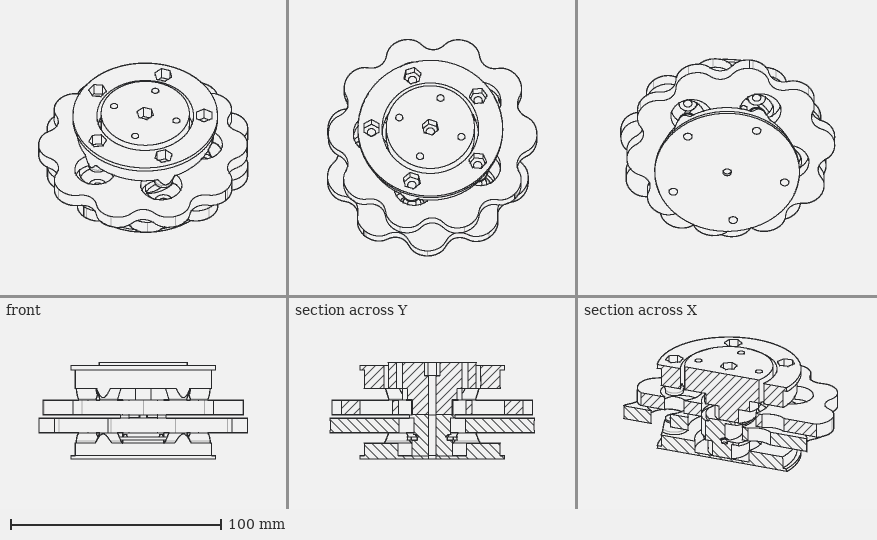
import cadquery as cq
import math


cam_spread = 7.0
eccentricity = cam_spread / 2
lobe_count = 10
ring_pin_count = lobe_count + 1
ring_pin_circle_radius = 52.5
ring_pin_radius = 6.3
points_per_lobe = 24
disc_thickness = 7.0
disc_gap = 1.6
disc_bore_diameter = 32.5
peg_window_diameter = 19.5

rim_diameter = 69.0
skirt_diameter = 65.0
upper_bore_diameter = 46.0
bearing_pocket_diameter = disc_bore_diameter
peg_count = 5
peg_circle_radius = 28.0
bolt_hole_diameter = 4.0
peg_tip_diameter = 8.6
peg_tip_length = 0.8
upper_peg_root_diameter = 11.7
lower_peg_waist_diameter = 11.7
lower_peg_root_diameter = 13.0
peg_nut_diameter = 8.5
nut_pocket_depth = 6.3

hub_plate_diameter = 42.0
hub_boss_diameter = 28.4
hub_boss_offset = 2.9
hub_clearance = 0.1
hub_nut_diameter = 8.0
screw_circle_radius = 15.6
screw_hole_diameter = 3.3
screw_head_groove_diameter = 7.5
cam_diameter = 19.8
shoulder_diameter = 24.0
spacer_diameter = 21.8
tab_width = 13.6
tab_clearance = 0.2
tab_notch_width = 4.1
blind_hole_diameter = 2.8
blind_hole_crown_diameter = 4.5
blind_hole_end_diameter = 2.1
blind_hole_x = 8.6
blind_hole_y = -1.1
blind_hole_crown_height = 1.0

lower_rim_top = 1.6
lower_skirt_top = 7.5
lower_peg_waist = 8.6
shoulder_bottom = 9.0
shoulder_top = 10.6
lower_disc_bottom = 12.4
lower_disc_top = lower_disc_bottom + disc_thickness
upper_disc_bottom = lower_disc_top + disc_gap
upper_disc_top = upper_disc_bottom + disc_thickness
hub_boss_bottom = upper_disc_top + hub_clearance
upper_peg_cone_bottom = 28.5
upper_skirt_bottom = 33.5
upper_rim_bottom = 42.3
upper_rim_top = 44.5
hub_top = 46.0

peg_angles = [90 + 360 / peg_count * i for i in range(peg_count)]
peg_places = [
    (peg_circle_radius * math.cos(math.radians(a)), peg_circle_radius * math.sin(math.radians(a)))
    for a in peg_angles
]


def cylinder(diameter, bottom, top, x=0, y=0):
    """Upright cylinder between two levels."""
    return cq.Workplane("XY", origin=(x, y, bottom)).circle(diameter / 2).extrude(top - bottom)


def cone(bottom_diameter, top_diameter, bottom, top, x=0, y=0):
    """Upright truncated cone between two levels."""
    solid = cq.Solid.makeCone(
        bottom_diameter / 2, top_diameter / 2, top - bottom, pnt=cq.Vector(x, y, bottom)
    )
    return cq.Workplane(solid)


def hex_prism(corner_diameter, bottom, top, x=0, y=0, angle=0):
    """Upright hexagonal prism with one corner pointing along the given angle."""
    prism = cq.Workplane("XY").polygon(6, corner_diameter).extrude(top - bottom)
    return prism.rotate((0, 0, 0), (0, 0, 1), angle).translate((x, y, bottom))


def cycloid_point(t):
    """Point of the disc outline: an epitrochoid offset inward by the ring pin radius."""
    lean = math.atan2(
        math.sin(lobe_count * t),
        math.cos(lobe_count * t) - ring_pin_circle_radius / (eccentricity * ring_pin_count),
    )
    x = (
        ring_pin_circle_radius * math.cos(t)
        + ring_pin_radius * math.cos(t + lean)
        - eccentricity * math.cos(ring_pin_count * t)
    )
    y = (
        ring_pin_circle_radius * math.sin(t)
        + ring_pin_radius * math.sin(t + lean)
        - eccentricity * math.sin(ring_pin_count * t)
    )
    return cq.Vector(x, y, 0)


def cycloid_wire():
    """Closed outline with one spline from each lobe tip to the next."""
    pitch = 2 * math.pi / lobe_count
    edges = []
    for lobe in range(lobe_count):
        start = (lobe + 0.5) * pitch
        points = [cycloid_point(start + pitch * i / points_per_lobe) for i in range(points_per_lobe + 1)]
        tangents = [cq.Vector(-math.sin(a), math.cos(a), 0) for a in (start, start + pitch)]
        edges.append(cq.Edge.makeSpline(points, tangents=tangents))
    return cq.Wire.assembleEdges(edges)


def cycloidal_disc(bottom, center_y, tip_angle):
    """Lobed disc with a centre bore and a window for each peg."""
    outline = cq.Solid.extrudeLinear(cycloid_wire(), [], cq.Vector(0, 0, disc_thickness))
    half_pitch = 180 / lobe_count
    disc = cq.Workplane(outline).rotate((0, 0, 0), (0, 0, 1), tip_angle - half_pitch)
    disc = disc.cut(cylinder(disc_bore_diameter, 0, disc_thickness))
    for x, y in peg_places:
        disc = disc.cut(cylinder(peg_window_diameter, 0, disc_thickness, x, y))
    return disc.translate((0, center_y, bottom))


def make_upper_flange():
    """Rim, skirt and hanging pegs, bored for the hub and drilled for bolts and nuts."""
    flange = cylinder(skirt_diameter, upper_skirt_bottom, upper_rim_bottom)
    for x, y in peg_places:
        flange = flange.union(
            cone(peg_tip_diameter, upper_peg_root_diameter, upper_peg_cone_bottom, upper_skirt_bottom, x, y)
        )
        flange = flange.union(
            cylinder(peg_tip_diameter, upper_disc_top - peg_tip_length, upper_peg_cone_bottom, x, y)
        )
    flange = flange.intersect(cylinder(skirt_diameter, lower_disc_top, upper_rim_bottom))
    flange = flange.union(cylinder(rim_diameter, upper_rim_bottom, upper_rim_top))
    flange = flange.cut(cylinder(upper_bore_diameter, lower_disc_top, upper_rim_top))
    for angle, (x, y) in zip(peg_angles, peg_places):
        flange = flange.cut(cylinder(bolt_hole_diameter, lower_disc_top, upper_rim_top, x, y))
        pocket_bottom = upper_rim_top - nut_pocket_depth
        flange = flange.cut(hex_prism(peg_nut_diameter, pocket_bottom, upper_rim_top, x, y, angle + 90))
    return flange


def make_lower_flange():
    """Rim, skirt and standing pegs, with a bearing pocket and bolt holes."""
    flange = cylinder(skirt_diameter, 0, lower_skirt_top)
    for x, y in peg_places:
        flange = flange.union(
            cone(lower_peg_root_diameter, lower_peg_waist_diameter, lower_skirt_top, lower_peg_waist, x, y)
        )
        flange = flange.union(
            cone(lower_peg_waist_diameter, peg_tip_diameter, lower_peg_waist, lower_disc_bottom, x, y)
        )
        flange = flange.union(
            cylinder(peg_tip_diameter, lower_disc_bottom, lower_disc_bottom + peg_tip_length, x, y)
        )
    flange = flange.intersect(cylinder(skirt_diameter, 0, lower_disc_top))
    flange = flange.union(cylinder(rim_diameter, 0, lower_rim_top))
    flange = flange.cut(cylinder(bearing_pocket_diameter, lower_rim_top, lower_skirt_top))
    for x, y in [(0, 0), *peg_places]:
        flange = flange.cut(cylinder(bolt_hole_diameter, 0, lower_disc_top, x, y))
    return flange


def make_drive_tab():
    """Notched arc segment that hangs from the upper cam beside the spacer."""
    bottom = lower_disc_top + tab_clearance
    height = upper_disc_bottom - bottom
    tab = cylinder(shoulder_diameter, bottom, upper_disc_bottom)
    tab = tab.cut(cylinder(spacer_diameter, bottom, upper_disc_bottom))
    segment = cq.Workplane("XY", origin=(0, -shoulder_diameter / 2, bottom)).rect(
        tab_width, shoulder_diameter
    ).extrude(height)
    notch = cylinder(tab_notch_width, bottom, upper_disc_bottom, 0, -shoulder_diameter / 2)
    return tab.intersect(segment).cut(notch)


def make_hub():
    """Top plate, eccentric boss with screw head grooves, upper cam and drive tab."""
    hub = cylinder(hub_boss_diameter, hub_boss_bottom, upper_skirt_bottom, 0, -hub_boss_offset)
    screw_places = [
        (screw_circle_radius, 0),
        (0, screw_circle_radius),
        (-screw_circle_radius, 0),
        (0, -screw_circle_radius),
    ]
    for x, y in screw_places:
        hub = hub.cut(cylinder(screw_head_groove_diameter, hub_boss_bottom, upper_skirt_bottom, x, y))
    hub = hub.union(cylinder(hub_plate_diameter, upper_skirt_bottom, hub_top))
    hub = hub.union(cylinder(cam_diameter, upper_disc_bottom, hub_boss_bottom, 0, -eccentricity))
    hub = hub.union(make_drive_tab())
    for x, y in screw_places:
        hub = hub.cut(cylinder(screw_hole_diameter, upper_skirt_bottom, hub_top, x, y))
    hub = hub.cut(cylinder(bolt_hole_diameter, upper_disc_bottom, hub_top))
    return hub.cut(hex_prism(hub_nut_diameter, hub_top - nut_pocket_depth, hub_top))


def make_lower_shaft():
    """Bearing stub, shoulder, lower cam and spacer, with two blind holes beside the cam."""
    shaft = cylinder(cam_diameter, lower_rim_top, shoulder_bottom)
    shaft = shaft.union(cylinder(shoulder_diameter, shoulder_bottom, shoulder_top))
    shaft = shaft.union(cylinder(cam_diameter, shoulder_top, lower_disc_top, 0, eccentricity))
    shaft = shaft.union(cylinder(spacer_diameter, lower_disc_top, upper_disc_bottom))
    for x in (-blind_hole_x, blind_hole_x):
        shaft = shaft.cut(cylinder(blind_hole_diameter, shoulder_bottom, shoulder_top, x, blind_hole_y))
        crown_top = shoulder_top + blind_hole_crown_height
        shaft = shaft.cut(
            cone(blind_hole_crown_diameter, blind_hole_end_diameter, shoulder_top, crown_top, x, blind_hole_y)
        )
    return shaft.cut(cylinder(bolt_hole_diameter, lower_rim_top, upper_disc_bottom))


upper_flange = make_upper_flange()
lower_flange = make_lower_flange()
upper_disc = cycloidal_disc(upper_disc_bottom, -eccentricity, 90)
lower_disc = cycloidal_disc(lower_disc_bottom, eccentricity, 0)
hub = make_hub()
lower_shaft = make_lower_shaft()

result = cq.Compound.makeCompound([
    upper_flange.val(),
    lower_flange.val(),
    upper_disc.val(),
    lower_disc.val(),
    hub.val(),
    lower_shaft.val(),
])